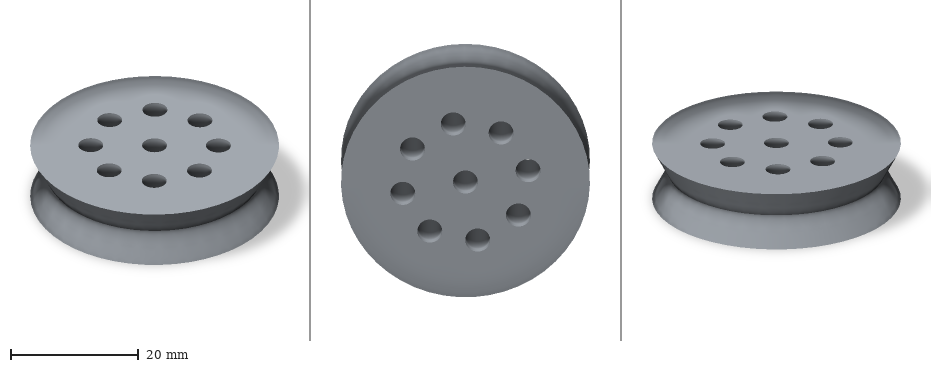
import cadquery as cq

rim_diameter = 39.0
waist_diameter = 34.0
thickness = 9.5
hole_diameter = 3.9
hole_circle_radius = 10.0
hole_count = 8

rim_radius = rim_diameter / 2
waist_radius = waist_diameter / 2


def make_wheel():
    """Disc with a V-groove around its edge, revolved about Z, base at Z = 0."""
    profile = (
        cq.Workplane("XZ")
        .polyline([
            (0, 0),
            (rim_radius, 0),
            (waist_radius, thickness / 2),
            (rim_radius, thickness),
            (0, thickness),
        ])
        .close()
    )
    return profile.revolve(360, (0, 0, 0), (0, 1, 0))


def make_holes():
    """Centre hole and the ring of equal holes around it, full thickness."""
    centre_hole = cq.Workplane("XY").circle(hole_diameter / 2).extrude(thickness)
    ring_holes = (
        cq.Workplane("XY")
        .polarArray(hole_circle_radius, 0, 360, hole_count)
        .circle(hole_diameter / 2)
        .extrude(thickness)
    )
    return centre_hole.add(ring_holes).combine()


result = make_wheel().cut(make_holes())